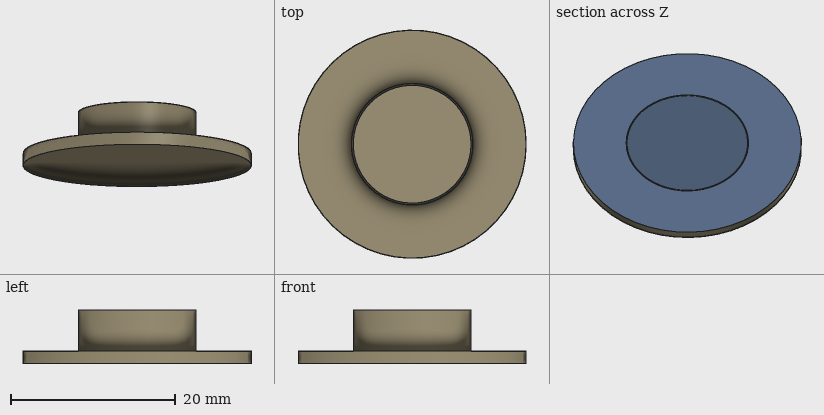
import cadquery as cq

disc_diameter = 27.7
disc_thickness = 1.5
recess_diameter = 14.8
recess_floor = 0.5

flange_diameter = 14.7
stem_diameter = 14.3
top_height = 6.5


def make_disc():
    """Plate resting on the XY plane, recessed from its top face down to the floor."""
    plate = cq.Workplane("XY").circle(disc_diameter / 2).extrude(disc_thickness)
    recess = (
        cq.Workplane("XY")
        .workplane(offset=recess_floor)
        .circle(recess_diameter / 2)
        .extrude(disc_thickness - recess_floor)
    )
    return plate.cut(recess)


def make_plug():
    """Stepped plug seated on the recess floor, its flange flush with the disc top."""
    seat = cq.Workplane("XY").workplane(offset=recess_floor)
    flange = seat.circle(flange_diameter / 2).extrude(disc_thickness - recess_floor)
    stem = seat.circle(stem_diameter / 2).extrude(top_height - recess_floor)
    return flange.union(stem)


disc = make_disc()
plug = make_plug()

result = cq.Compound.makeCompound([disc.solids().val(), plug.solids().val()])